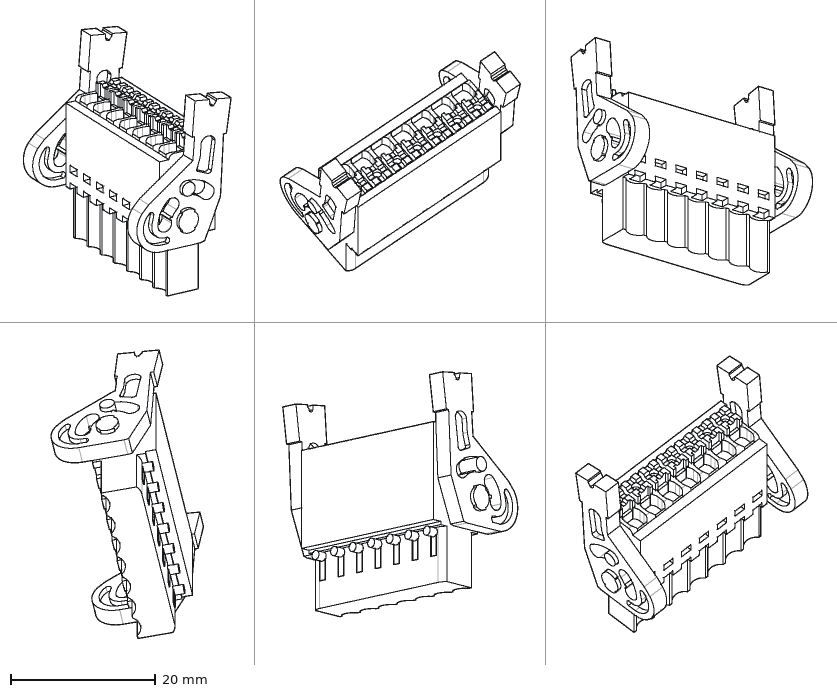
import math

import cadquery as cq


pole_count = 7
pitch = 3.5
pole_offset = 0.06
pole_x = [pole_offset + (i - (pole_count - 1) / 2) * pitch for i in range(pole_count)]

housing_length = 24.9
back_y = 6.26
front_y = -2.75
overhang_z = 7.9
deck_z = 21.17
back_wall_top_z = 22.33
back_wall_front_y = 5.1
front_ledge_z = 20.4
back_step_y = 4.76
back_step_z = 8.36
deck_round_radius = deck_z - front_ledge_z
deck_front_y = -1.22

plug_back_y = 3.99
plug_front_y = -1.5
plug_corner_radius = 1.775
plug_corner_turn = 45
scallop_radius = 1.8
scallop_width = 3.0
peg_radius = 0.65
peg_root_y = 3.47
peg_end_y = 5.47
peg_rib_width = 1.0
peg_rib_y = 4.12
peg_rib_bottom_z = 3.9

window_width = 1.8
window_bottom_z = 10.4
window_top_z = 11.46
window_depth = 1.0
notch_top_z = 8.8

wire_radius = 1.45
wire_arc_front_y = 0.0
wire_arc_back_y = 0.78
wire_back_y = 1.77
wire_front_y = -1.12
wire_bottom_z = 18.9

button_width = 2.9
button_top_z = 22.68
button_bottom_z = 17.0
button_notch_width = 1.92
button_notch_depth = 0.46
tongue_top_z = 20.75
groove_top_width = 1.12
groove_floor_width = 0.55
groove_depth = 0.43
button_hole_radius = 0.62
button_hole_depth = 1.2
button_hole_y = 3.57

pivot_z = 12.08
lever_thickness = 2.5
lever_gap = 0.16
pin_end_x = 15.7
pivot_radius = 1.58
pivot_flat = 1.42
lip_radius = 1.79
lip_half_width = 0.98
guide_pin_radius = 1.04
guide_track_radius = 4.78

track_half_width = 1.09
guide_slot_sweep = 45
relief_track_radius = 3.53
relief_start = -90
relief_end = -41
detent_radius = 0.25
guide_detent_angle = 12
relief_detent_angle = -75
guide_detent_height = 0.2
relief_detent_height = 0.35
pocket_depth = 0.85

lever_round_radius = 3.95
lever_round_y = -4.1
lever_facet_start = (-6.13, 15.63)
lever_facet_end_z = 14.47


def box(x_min, x_max, y_min, y_max, z_min, z_max):
    return cq.Workplane("XY").box(
        x_max - x_min, y_max - y_min, z_max - z_min, centered=False
    ).translate((x_min, y_min, z_min))


def pole_box(x, width, y_min, y_max, z_min, z_max):
    return box(x - width / 2, x + width / 2, y_min, y_max, z_min, z_max)


def polar(radius, angle):
    """Point around the pivot in the YZ plane, angle in degrees from upright towards the back."""
    turn = math.radians(angle)
    return (radius * math.sin(turn), pivot_z + radius * math.cos(turn))


def disc(centre, radius, x_min, x_max):
    """Cylinder along X."""
    return (
        cq.Workplane("YZ", origin=(x_min, 0, 0))
        .center(*centre).circle(radius).extrude(x_max - x_min)
    )


def button_blank(x):
    blank = pole_box(x, button_width, wire_back_y, back_wall_front_y, button_bottom_z, button_top_z)
    notch = pole_box(
        x, button_notch_width, wire_back_y, wire_back_y + button_notch_depth, button_bottom_z, button_top_z
    )
    return blank.cut(notch)


def groove(plane, origin, length):
    """Trapezoidal screwdriver groove, open at the top of the button."""
    return (
        cq.Workplane(plane, origin=origin)
        .moveTo(-groove_top_width / 2, 0)
        .lineTo(-groove_floor_width / 2, -groove_depth)
        .lineTo(groove_floor_width / 2, -groove_depth)
        .lineTo(groove_top_width / 2, 0)
        .close()
        .extrude(length, both=True)
    )


def make_button(x):
    top_centre = (x, button_hole_y, button_top_z)
    reach = back_y - front_y
    hole = cq.Workplane("XY", origin=top_centre).circle(button_hole_radius).extrude(-button_hole_depth)
    return (
        button_blank(x)
        .cut(groove("XZ", top_centre, reach))
        .cut(groove("YZ", top_centre, button_width))
        .cut(hole)
    )


def housing_block():
    """Wide upper part, drawn as its end profile and run along the row."""
    round_centre_y = deck_front_y + deck_round_radius
    round_middle = deck_round_radius * math.sqrt(0.5)
    return (
        cq.Workplane("YZ")
        .moveTo(front_y, overhang_z)
        .lineTo(front_y, front_ledge_z)
        .lineTo(deck_front_y, front_ledge_z)
        .threePointArc(
            (round_centre_y - round_middle, front_ledge_z + round_middle), (round_centre_y, deck_z)
        )
        .lineTo(back_wall_front_y, deck_z)
        .lineTo(back_wall_front_y, back_wall_top_z)
        .lineTo(back_y, back_wall_top_z)
        .lineTo(back_y, back_step_z)
        .lineTo(back_step_y, back_step_z)
        .lineTo(back_step_y, overhang_z)
        .close()
        .extrude(housing_length / 2, both=True)
    )


def plug_block():
    """Narrow lower part with rounded back corners."""
    half = housing_length / 2
    turn = math.radians(plug_corner_turn)
    corner_width = plug_corner_radius * math.sin(turn)
    corner_drop = plug_corner_radius * (1 - math.cos(turn))
    middle_width = plug_corner_radius * math.sin(turn / 2)
    middle_drop = plug_corner_radius * (1 - math.cos(turn / 2))
    flat_end = half - corner_width
    arc_middle_x = flat_end + middle_width
    arc_middle_y = plug_back_y - middle_drop
    corner_y = plug_back_y - corner_drop
    return (
        cq.Workplane("XY")
        .moveTo(-half, plug_front_y)
        .lineTo(half, plug_front_y)
        .lineTo(half, corner_y)
        .threePointArc((arc_middle_x, arc_middle_y), (flat_end, plug_back_y))
        .lineTo(-flat_end, plug_back_y)
        .threePointArc((-arc_middle_x, arc_middle_y), (-half, corner_y))
        .close()
        .extrude(overhang_z)
    )


def scallop(x):
    """Shallow upright groove along the front of the plug."""
    centre_y = plug_front_y - math.sqrt(scallop_radius ** 2 - (scallop_width / 2) ** 2)
    return cq.Workplane("XY").center(x, centre_y).circle(scallop_radius).extrude(overhang_z)


def coding_peg(x):
    """Round peg on the back of the plug with a thin rib under it."""
    peg = (
        cq.Workplane("XZ", origin=(x, peg_root_y, overhang_z - peg_radius))
        .circle(peg_radius).extrude(peg_root_y - peg_end_y)
    )
    rib = pole_box(x, peg_rib_width, peg_root_y, peg_rib_y, peg_rib_bottom_z, overhang_z - peg_radius)
    return peg.union(rib)


def wire_entry(x):
    """Long round opening with its front and back cut flat."""
    middle_y = (wire_arc_back_y + wire_arc_front_y) / 2
    length = wire_arc_back_y - wire_arc_front_y + 2 * wire_radius
    depth = deck_z - wire_bottom_z
    slot = (
        cq.Workplane("XY", origin=(x, middle_y, wire_bottom_z))
        .slot2D(length, 2 * wire_radius, 90).extrude(depth)
    )
    return slot.intersect(pole_box(x, pitch, wire_front_y, wire_back_y, wire_bottom_z, deck_z))


def tongue_relief(x):
    """Lowers the deck inside the front notch of a button."""
    back = wire_back_y + button_notch_depth
    return pole_box(x, button_notch_width, wire_back_y, back, tongue_top_z, deck_z)


def front_openings(x):
    window = pole_box(x, window_width, front_y, front_y + window_depth, window_bottom_z, window_top_z)
    notch = pole_box(x, window_width, front_y, plug_front_y, overhang_z, notch_top_z)
    return window.union(notch)


def pivot_pins():
    """Pivot with snap lips and guide pin on the -X end."""
    root_x = -housing_length / 2
    lever_outer_x = root_x - lever_gap - lever_thickness
    pivot_centre = (0, pivot_z)
    shaft = disc(pivot_centre, pivot_radius, lever_outer_x, root_x).intersect(
        box(lever_outer_x, root_x, -pivot_radius, pivot_radius, pivot_z - pivot_flat, pivot_z + pivot_flat)
    )
    lip_bottom_z = pivot_z - lip_radius
    lip_top_z = pivot_z + lip_radius
    lips = disc(pivot_centre, lip_radius, -pin_end_x, lever_outer_x).intersect(
        box(-pin_end_x, lever_outer_x, -lip_half_width, lip_half_width, lip_bottom_z, lip_top_z)
    )
    head = disc(pivot_centre, pivot_radius, -pin_end_x, lever_outer_x).union(lips)
    guide_pin = disc(polar(guide_track_radius, 0), guide_pin_radius, -pin_end_x, root_x)
    return shaft.union(head).union(guide_pin)


def make_housing():
    housing = housing_block().union(plug_block())
    for x in pole_x:
        housing = housing.cut(scallop(x)).union(coding_peg(x))
        housing = housing.cut(button_blank(x)).cut(tongue_relief(x))
        housing = housing.cut(wire_entry(x)).cut(front_openings(x))
    pins = pivot_pins()
    return housing.union(pins).union(pins.mirror("YZ"))


def lever_plate():
    """Outline of the lever: notched grip at the top, round nose at the front."""
    facet_end_y = lever_round_y - math.sqrt(lever_round_radius ** 2 - (lever_facet_end_z - pivot_z) ** 2)
    nose_y = lever_round_y - lever_round_radius
    return (
        cq.Workplane("YZ")
        .moveTo(7.25, 28.8)
        .lineTo(4.89, 29.13)
        .lineTo(4.83, 28.84)
        .lineTo(4.37, 28.23)
        .lineTo(4.04, 28.23)
        .lineTo(3.8, 28.6)
        .lineTo(3.74, 29.28)
        .lineTo(1.37, 29.59)
        .lineTo(0.94, 24.22)
        .lineTo(1.31, 24.2)
        .lineTo(1.04, 20.7)
        .lineTo(*lever_facet_start)
        .lineTo(facet_end_y, lever_facet_end_z)
        .threePointArc((nose_y, pivot_z), (lever_round_y, pivot_z - lever_round_radius))
        .lineTo(2.3, pivot_z - lever_round_radius)
        .lineTo(2.95, 8.27)
        .lineTo(5.53, 14.39)
        .lineTo(6.02, 23.62)
        .lineTo(6.49, 23.64)
        .close()
        .extrude(lever_thickness)
    )


def track_slot(radius, start, end):
    """Round-ended slot through the lever along an arc about the pivot."""
    middle = (start + end) / 2
    inner = radius - track_half_width
    outer = radius + track_half_width
    band = (
        cq.Workplane("YZ")
        .moveTo(*polar(inner, start))
        .threePointArc(polar(inner, middle), polar(inner, end))
        .lineTo(*polar(outer, end))
        .threePointArc(polar(outer, middle), polar(outer, start))
        .close()
        .extrude(lever_thickness)
    )
    for angle in (start, end):
        band = band.union(disc(polar(radius, angle), track_half_width, 0, lever_thickness))
    return band


def detent(inner_radius, height, angle):
    """Small round bump on the inner wall of a track slot."""
    centre = polar(inner_radius + height - detent_radius, angle)
    return disc(centre, detent_radius, 0, lever_thickness)


def grip_pocket(x):
    """Long blind pocket in the lever arm."""
    return (
        cq.Workplane("YZ", origin=(x, 0, 0))
        .moveTo(4.66, 22.97)
        .threePointArc((3.53, 23.87), (2.39, 23.06))
        .lineTo(2.22, 21.04)
        .lineTo(1.75, 19.4)
        .threePointArc((1.7, 19.1), (1.85, 18.93))
        .lineTo(3.3, 18.32)
        .threePointArc((3.7, 18.28), (4.05, 18.55))
        .close()
        .extrude(pocket_depth)
    )


def nose_pocket(x):
    """Crescent-shaped blind pocket that follows the round nose."""
    return (
        cq.Workplane("YZ", origin=(x, 0, 0))
        .moveTo(-5.32, 13.85)
        .threePointArc((-5.62, 14.36), (-6.05, 14.22))
        .threePointArc((-6.9, 11.3), (-4.4, 9.17))
        .lineTo(-3.05, 9.17)
        .threePointArc((-2.74, 9.65), (-3.05, 10.1))
        .lineTo(-3.9, 10.15)
        .threePointArc((-5.3, 11.05), (-5.62, 12.4))
        .close()
        .extrude(pocket_depth)
    )


def make_lever(x):
    """Lever whose -X face lies at x; both faces carry the same blind pockets."""
    lever = lever_plate().cut(disc((0, pivot_z), pivot_radius, 0, lever_thickness))
    lever = lever.cut(track_slot(guide_track_radius, 0, guide_slot_sweep))
    lever = lever.cut(track_slot(relief_track_radius, relief_start, relief_end))
    guide_inner = guide_track_radius - track_half_width
    relief_inner = relief_track_radius - track_half_width
    lever = lever.union(detent(guide_inner, guide_detent_height, guide_detent_angle))
    lever = lever.union(detent(relief_inner, relief_detent_height, relief_detent_angle))
    for pocket_x in (0, lever_thickness - pocket_depth):
        lever = lever.cut(grip_pocket(pocket_x)).cut(nose_pocket(pocket_x))
    return lever.translate((x, 0, 0))


lever_inner_x = housing_length / 2 + lever_gap
housing = make_housing()
levers = [make_lever(x) for x in (-lever_inner_x - lever_thickness, lever_inner_x)]
buttons = [make_button(x) for x in pole_x]

result = cq.Compound.makeCompound([body.val() for body in [housing, *levers, *buttons]])